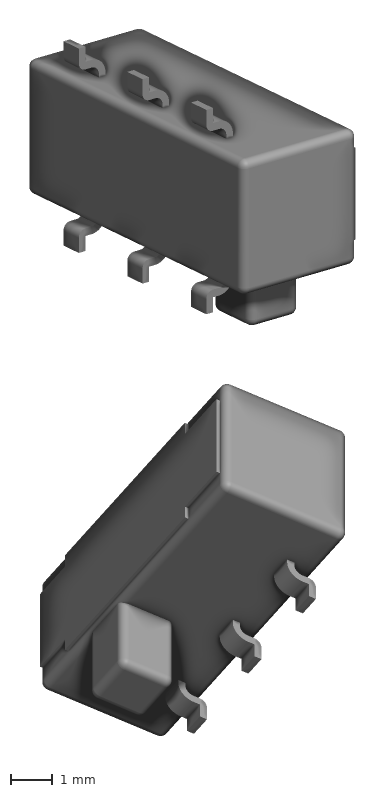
import cadquery as cq

HOUSING_LENGTH = 8.5
HOUSING_DEPTH = 3.5
HOUSING_HEIGHT = 3.5
EDGE_RADIUS = 0.2

PLATE_THICKNESS = 0.1
PLATE_LENGTH = HOUSING_LENGTH - 2 * EDGE_RADIUS
PLATE_HEIGHT = HOUSING_HEIGHT - 2 * EDGE_RADIUS
PLATE_NOTCH_LEFT_X = -2.6
PLATE_NOTCH_RIGHT_X = 2.9
PLATE_NOTCH_BOTTOM_Z = -1.2
PLATE_NOTCH_TOP_Z = 1.18

LEVER_SIDE = 1.5
LEVER_PROJECTION = 2.0
LEVER_CENTER_X = 1.29
LEVER_BACK_GAP = 0.05
LEVER_EMBEDMENT = 0.5

PIN_PITCH = 2.5
PIN_COUNT = 3
PIN_CENTER_X = 0.0
PIN_WIDTH = 0.6
PIN_THICKNESS = 0.2
PIN_PROJECTION = 0.9
PIN_FRONT_GAP = 0.02
PIN_REACH = 0.81
PIN_STEP_HEIGHT = 0.51
PIN_INNER_RADIUS = 0.22
PIN_EMBEDMENT = 0.3

HALF_HEIGHT = HOUSING_HEIGHT / 2
FRONT_Y = -HOUSING_DEPTH / 2
BACK_Y = HOUSING_DEPTH / 2


def make_housing():
    block = cq.Workplane("XY").box(HOUSING_LENGTH, HOUSING_DEPTH, HOUSING_HEIGHT)
    return block.edges().fillet(EDGE_RADIUS)


def make_plate_bar(left, right, bottom, top):
    """Rectangle of plate sitting on the back face, given by its X and Z limits."""
    bar = cq.Workplane("XY").box(right - left, PLATE_THICKNESS, top - bottom, centered=False)
    return bar.translate((left, BACK_Y, bottom))


def make_plate():
    half_length = PLATE_LENGTH / 2
    half_height = PLATE_HEIGHT / 2
    long_bar = make_plate_bar(-half_length, half_length, PLATE_NOTCH_BOTTOM_Z, PLATE_NOTCH_TOP_Z)
    tall_bar = make_plate_bar(PLATE_NOTCH_LEFT_X, PLATE_NOTCH_RIGHT_X, -half_height, half_height)
    return long_bar.union(tall_bar)


def make_lever():
    length = LEVER_PROJECTION + LEVER_EMBEDMENT
    center_y = BACK_Y - LEVER_BACK_GAP - LEVER_SIDE / 2
    center_z = -HALF_HEIGHT - LEVER_PROJECTION + length / 2
    bar = cq.Workplane("XY").box(LEVER_SIDE, LEVER_SIDE, length)
    bar = bar.edges("|Z or <Z").fillet(EDGE_RADIUS)
    return bar.translate((LEVER_CENTER_X, center_y, center_z))


def make_upper_pin(center_x):
    """Z-bent strip: out of the housing, forward, then up along the front plane."""
    foot_front = FRONT_Y + PIN_FRONT_GAP
    foot_back = foot_front + PIN_THICKNESS
    root_back = foot_front + PIN_REACH
    root_front = root_back - PIN_THICKNESS
    root_z = HALF_HEIGHT - PIN_EMBEDMENT
    shelf_top = HALF_HEIGHT + PIN_STEP_HEIGHT
    shelf_bottom = shelf_top - PIN_THICKNESS
    tip_z = HALF_HEIGHT + PIN_PROJECTION
    outer_radius = PIN_INNER_RADIUS + PIN_THICKNESS
    bend_y = root_back - outer_radius
    bend_z = shelf_top - outer_radius

    profile = (
        cq.Workplane("YZ", origin=(center_x, 0, 0))
        .moveTo(root_front, root_z)
        .lineTo(root_back, root_z)
        .lineTo(root_back, bend_z)
        .radiusArc((bend_y, shelf_top), -outer_radius)
        .lineTo(foot_back, shelf_top)
        .lineTo(foot_back, tip_z)
        .lineTo(foot_front, tip_z)
        .lineTo(foot_front, shelf_top)
        .radiusArc((foot_back, shelf_bottom), -PIN_THICKNESS)
        .lineTo(bend_y, shelf_bottom)
        .radiusArc((root_front, bend_z), PIN_INNER_RADIUS)
        .close()
    )
    return profile.extrude(PIN_WIDTH / 2, both=True)


result = make_housing().union(make_plate()).union(make_lever())
for index in range(PIN_COUNT):
    pin_x = PIN_CENTER_X + (index - (PIN_COUNT - 1) / 2) * PIN_PITCH
    upper_pin = make_upper_pin(pin_x)
    result = result.union(upper_pin).union(upper_pin.mirror("XY"))